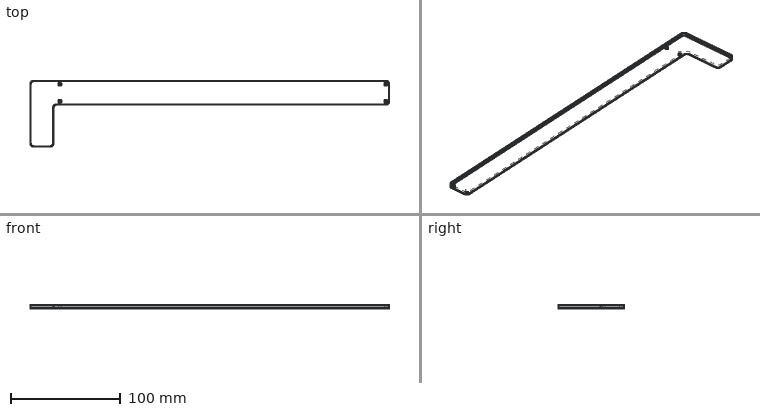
import cadquery as cq

length = 327.0
depth = 60.0
thickness = 3.0

arm_width = 21.5
leg_width = 21.0
corner_radius = 3.0

hole_diameter = 2.2
hole_edge_offset = 3.0
near_hole_x = 26.8
far_hole_x = length - hole_edge_offset


def l_plate():
    """L-shaped plate with every corner rounded, outer arm edge along Y = 0."""
    outline = [
        (0, 0),
        (length, 0),
        (length, -arm_width),
        (leg_width, -arm_width),
        (leg_width, -depth),
        (0, -depth),
    ]
    plate = cq.Workplane("XY").polyline(outline).close().extrude(thickness)
    return plate.edges("|Z").fillet(corner_radius)


def arm_holes():
    """Pins that cut the holes, set in equally from both arm edges."""
    hole_rows = (-hole_edge_offset, hole_edge_offset - arm_width)
    centers = [(x, y) for x in (near_hole_x, far_hole_x) for y in hole_rows]
    return cq.Workplane("XY").pushPoints(centers).circle(hole_diameter / 2).extrude(thickness)


result = l_plate().cut(arm_holes())